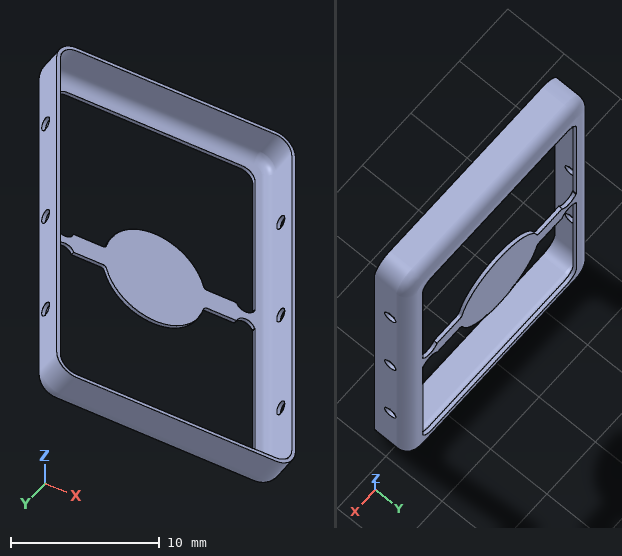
import cadquery as cq

width = 18.9
height = 30.2
depth = 3.0
wall = 0.3
corner_radius = 1.6
back_radius = 1.0

rim = 1.55
window_corner_radius = 1.0

disc_radius = 4.0
arm_height = 1.65
arm_fillet = 0.3
notch_radius = 0.75
neck_height = 0.65

hole_diameter = 1.0
hole_pitch = 8.5
hole_from_front = 1.42

window_width = width - 2 * rim
window_height = height - 2 * rim
front_y = -depth / 2
back_y = depth / 2


def rounded_block(block_width, block_height, y_start, y_end, radius):
    """Block along Y with rounded corners in the XZ plane."""
    length = y_end - y_start
    block = cq.Workplane("XY").box(block_width, length, block_height)
    return block.edges("|Y").fillet(radius).translate((0, (y_start + y_end) / 2, 0))


def disc_with_arms():
    """Disc and its arms, long enough in Y to span the whole part."""
    disc = cq.Workplane("XZ").circle(disc_radius).extrude(depth / 2, both=True)
    arms = cq.Workplane("XY").box(window_width, depth, arm_height)
    joined = disc.union(arms)
    junctions = joined.edges("|Y").filter(lambda edge: abs(edge.Center().x) < disc_radius)
    return junctions.fillet(arm_fillet)


def arm_notches():
    """Round notches, tangent to the window sides, that narrow each arm to a neck."""
    notch_x = window_width / 2 - notch_radius
    notch_z = neck_height / 2 + notch_radius
    centers = [(x, z) for x in (-notch_x, notch_x) for z in (-notch_z, notch_z)]
    return (
        cq.Workplane("XZ").pushPoints(centers).circle(notch_radius)
        .extrude(depth / 2, both=True)
    )


def wall_holes():
    """Row of holes along each long wall, drilled through in X."""
    hole_y = front_y + hole_from_front
    centers = [(hole_y, row * hole_pitch) for row in (-1, 0, 1)]
    return (
        cq.Workplane("YZ").pushPoints(centers).circle(hole_diameter / 2)
        .extrude(width, both=True)
    )


outer = rounded_block(width, height, front_y, back_y, corner_radius)
outer = outer.faces(">Y").edges().fillet(back_radius)
cavity = rounded_block(
    width - 2 * wall, height - 2 * wall, front_y, back_y - wall, corner_radius - wall
)
cavity = cavity.faces(">Y").edges().fillet(back_radius - wall)
tray = outer.cut(cavity)

window = rounded_block(window_width, window_height, front_y, back_y, window_corner_radius)
window = window.cut(disc_with_arms()).union(arm_notches())

result = tray.cut(window).cut(wall_holes())